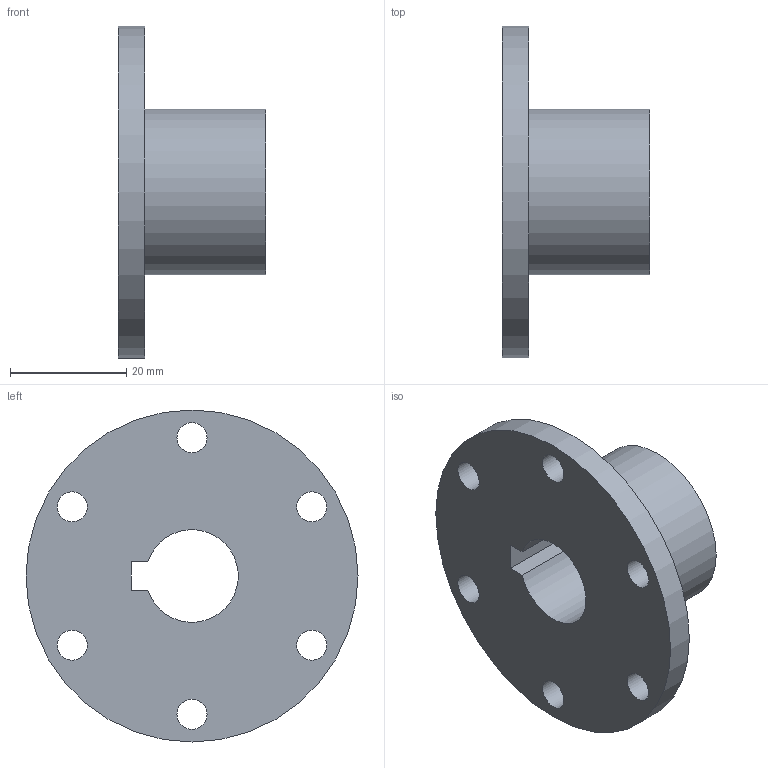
import cadquery as cq

total_length = 25.4
flange_diameter = 57.15
flange_thickness = 4.57
hub_diameter = 28.55

bore_diameter = 15.93
keyway_width = 4.9
keyway_depth_from_axis = 10.45

bolt_circle_diameter = 47.625
bolt_hole_diameter = 5.18
bolt_hole_count = 6
first_bolt_angle = 90.0


def make_body():
    """Round flange with a coaxial hub on its +X side."""
    flange = cq.Workplane("YZ").circle(flange_diameter / 2).extrude(flange_thickness)
    hub = cq.Workplane("YZ").circle(hub_diameter / 2).extrude(total_length)
    return flange.union(hub)


def make_keyed_bore():
    """Through bore with a rectangular keyway on the +Y side."""
    bore = cq.Workplane("YZ").circle(bore_diameter / 2).extrude(total_length)
    keyway = (
        cq.Workplane("YZ")
        .center(keyway_depth_from_axis / 2, 0)
        .rect(keyway_depth_from_axis, keyway_width)
        .extrude(total_length)
    )
    return bore.union(keyway)


def make_bolt_holes():
    """Evenly spaced holes through the flange, the first one straight up."""
    return (
        cq.Workplane("YZ")
        .polarArray(bolt_circle_diameter / 2, first_bolt_angle, 360, bolt_hole_count)
        .circle(bolt_hole_diameter / 2)
        .extrude(flange_thickness)
    )


result = make_body().cut(make_keyed_bore()).cut(make_bolt_holes())